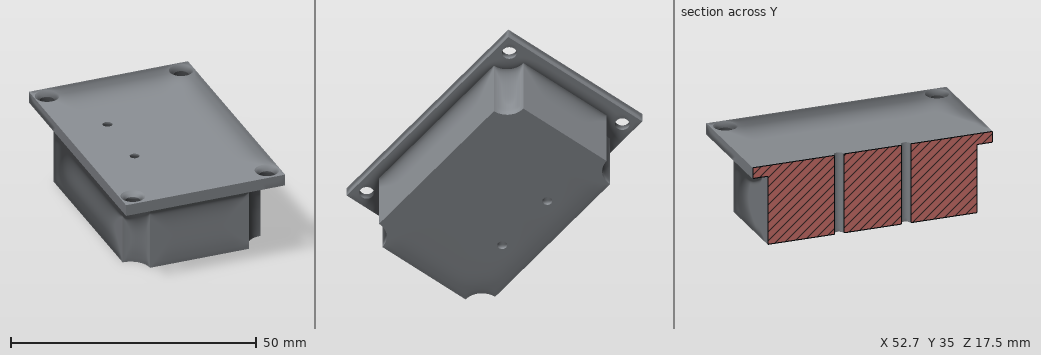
import cadquery as cq

plate_length = 52.7
plate_width = 35.0
plate_thickness = 2.5
total_height = 17.5

body_length = 46.0
body_width = 30.3
body_height = total_height - plate_thickness
corner_notch_radius = 4.25

mount_spacing_x = 46.5
mount_spacing_y = 29.5
mount_diameter = 3.0
countersink_diameter = 5.0
countersink_angle = 90

small_hole_diameter = 2.0
small_hole_spacing = 14.7
small_hole_y = -7.9


def make_plate():
    """Flat rectangular plate with its top face at the full height."""
    return (
        cq.Workplane("XY")
        .workplane(offset=body_height)
        .rect(plate_length, plate_width)
        .extrude(plate_thickness)
    )


def make_body():
    """Rectangular block with a concave round notch along each vertical edge."""
    block = cq.Workplane("XY").rect(body_length, body_width).extrude(body_height)
    notches = (
        cq.Workplane("XY")
        .rect(body_length, body_width, forConstruction=True)
        .vertices()
        .circle(corner_notch_radius)
        .extrude(body_height)
    )
    return block.cut(notches)


def cut_mounting_holes(part):
    """Countersunk holes, one above each corner notch."""
    return (
        part.faces(">Z")
        .workplane(origin=(0, 0, total_height))
        .rect(mount_spacing_x, mount_spacing_y, forConstruction=True)
        .vertices()
        .cskHole(mount_diameter, countersink_diameter, countersink_angle)
    )


def cut_small_holes(part):
    """Two through holes placed symmetrically about the middle of the length."""
    return (
        part.faces(">Z")
        .workplane(origin=(0, 0, total_height))
        .pushPoints([(side * small_hole_spacing / 2, small_hole_y) for side in (-1, 1)])
        .hole(small_hole_diameter)
    )


result = make_plate().union(make_body())
result = cut_mounting_holes(result)
result = cut_small_holes(result)